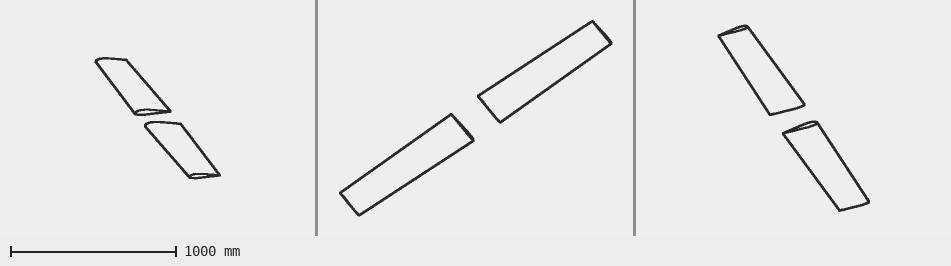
import cadquery as cq

overall_span = 1900.0
centre_gap = 200.0
root_chord = 226.5
root_thickness = 33.86
taper_ratio = 0.85

nose_height = 0.42
nose_fullness_station = 0.025
nose_fullness_height = 0.91
crease_station = 0.49
crease_height = 0.76
crease_lead = 0.35
base_start_station = 0.23
lower_nose_pull_height = 0.185
trailing_edge_height = 0.042


def section(plane_x, scale):
    """Closed aerofoil wire at one span station; every station shares mid-chord and mid-height."""
    chord = root_chord * scale
    thickness = root_thickness * scale
    middle_z = root_thickness / 2

    def point(station, height):
        return cq.Vector(plane_x, (station - 0.5) * chord, middle_z + (height - 0.5) * thickness)

    nose = point(0, nose_height)
    crease = point(crease_station, crease_height)
    trailing_edge_top = point(1, trailing_edge_height)
    trailing_edge_base = point(1, 0)
    base_start = point(base_start_station, 0)

    rear_slope = (crease_height - trailing_edge_height) / (1 - crease_station)
    upper_curve = cq.Edge.makeBezier([
        nose,
        point(nose_fullness_station, nose_fullness_height),
        point(crease_station - crease_lead, crease_height + rear_slope * crease_lead),
        crease,
    ])
    lower_curve = cq.Edge.makeBezier([base_start, point(0, lower_nose_pull_height), nose])
    return cq.Wire.assembleEdges([
        upper_curve,
        cq.Edge.makeLine(crease, trailing_edge_top),
        cq.Edge.makeLine(trailing_edge_top, trailing_edge_base),
        cq.Edge.makeLine(trailing_edge_base, base_start),
        lower_curve,
    ])


def wing_panel():
    """Right-hand panel, ruled from the root section to the smaller tip section."""
    root = section(centre_gap / 2, 1)
    tip = section(overall_span / 2, taper_ratio)
    return cq.Workplane(cq.Solid.makeLoft([root, tip], True))


right_panel = wing_panel()
left_panel = wing_panel().mirror("YZ")

result = cq.Compound.makeCompound([right_panel.val(), left_panel.val()])